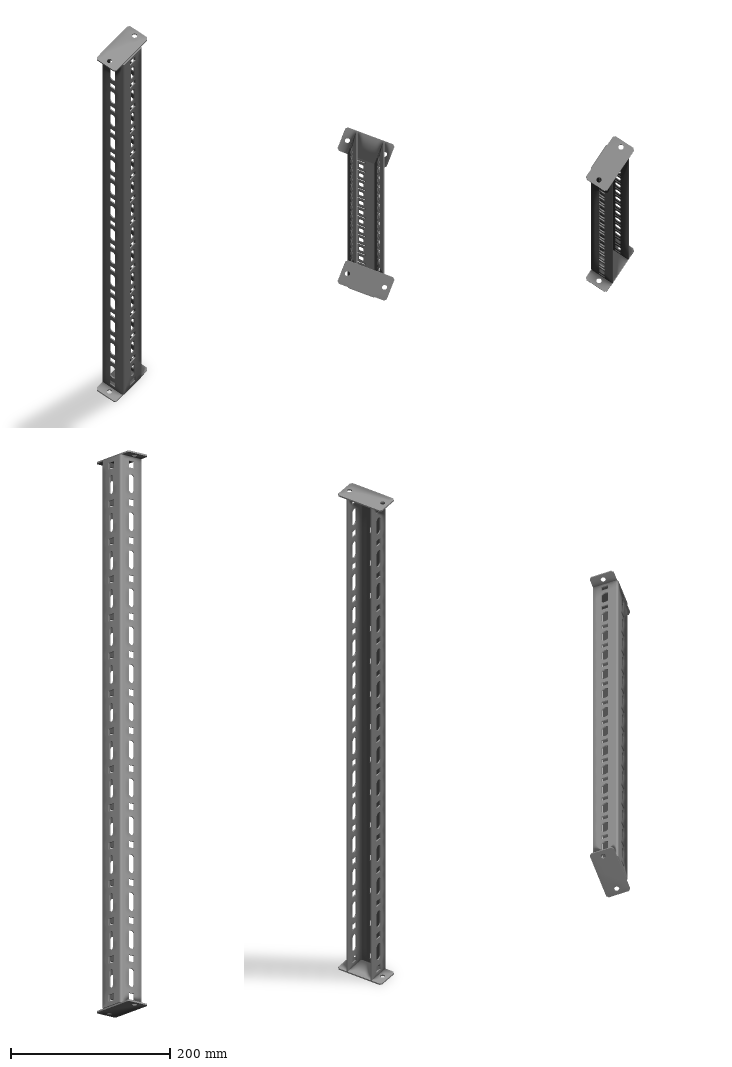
import cadquery as cq

TOTAL_HEIGHT = 724.0
CHANNEL_THICKNESS = 1.5
PLATE_THICKNESS = 2.0

CHANNEL_DEPTH = 33.0
CHANNEL_WIDTH = 38.0
BEND_RADIUS = 3.0

PLATE_DEPTH = CHANNEL_DEPTH - CHANNEL_THICKNESS
PLATE_LENGTH = 66.0
PLATE_CORNER_CHAMFER = 2.5
BOLT_HOLE_DIAMETER = 6.5
BOLT_SPACING = 50.0

PITCH = 50.0
HOLE_COUNT = 15
FLANGE_HOLE = (9.0, 9.0)
FLANGE_SLOT = (24.5, 9.0)
WEB_HOLE = (11.0, 9.0)
WEB_SLOT = (24.5, 6.5)

ROW_X = PLATE_DEPTH / 2
HOLE_HEIGHTS = [PITCH * (i - (HOLE_COUNT - 1) / 2) for i in range(HOLE_COUNT)]
SLOT_HEIGHTS = [z + PITCH / 2 for z in HOLE_HEIGHTS[:-1]]


def channel():
    """Bent-sheet channel running between the two end plates."""
    height = TOTAL_HEIGHT - 2 * PLATE_THICKNESS
    inner_depth = CHANNEL_DEPTH - CHANNEL_THICKNESS
    inner_width = CHANNEL_WIDTH - 2 * CHANNEL_THICKNESS
    outer = (
        cq.Workplane("XY")
        .box(CHANNEL_DEPTH, CHANNEL_WIDTH, height, centered=(False, True, True))
        .edges("|Z and >X")
        .fillet(BEND_RADIUS)
    )
    inner = (
        cq.Workplane("XY")
        .box(inner_depth, inner_width, height, centered=(False, True, True))
        .edges("|Z and >X")
        .fillet(BEND_RADIUS - CHANNEL_THICKNESS)
    )
    return outer.cut(inner)


def perforation(plane, row, hole_size, slot_size, reach):
    """Cutter for one row of rectangular holes and slots, reaching both ways from the plane."""
    holes = (
        cq.Workplane(plane)
        .pushPoints([(row, z) for z in HOLE_HEIGHTS])
        .rect(*hole_size)
        .extrude(reach, both=True)
    )
    slots = (
        cq.Workplane(plane)
        .pushPoints([(row, z) for z in SLOT_HEIGHTS])
        .slot2D(*slot_size, 90)
        .extrude(reach, both=True)
    )
    return holes.union(slots)


def end_plate(bottom_z):
    """Plate with clipped corners and a bolt hole outside each flange."""
    return (
        cq.Workplane("XY", origin=(ROW_X, 0, bottom_z))
        .rect(PLATE_DEPTH, PLATE_LENGTH)
        .extrude(PLATE_THICKNESS)
        .edges("|Z")
        .chamfer(PLATE_CORNER_CHAMFER)
        .faces(">Z")
        .workplane()
        .pushPoints([(0, -BOLT_SPACING / 2), (0, BOLT_SPACING / 2)])
        .hole(BOLT_HOLE_DIAMETER)
    )


flange_cutter = perforation(cq.Plane.XZ(), ROW_X, FLANGE_HOLE, FLANGE_SLOT, CHANNEL_WIDTH)
web_plane = cq.Plane.YZ(origin=(CHANNEL_DEPTH, 0, 0))
web_cutter = perforation(web_plane, 0, WEB_HOLE, WEB_SLOT, 2 * CHANNEL_THICKNESS)
post = channel().cut(flange_cutter).cut(web_cutter)
bottom_plate = end_plate(-TOTAL_HEIGHT / 2)
top_plate = end_plate(TOTAL_HEIGHT / 2 - PLATE_THICKNESS)
result = post.union(bottom_plate).union(top_plate)